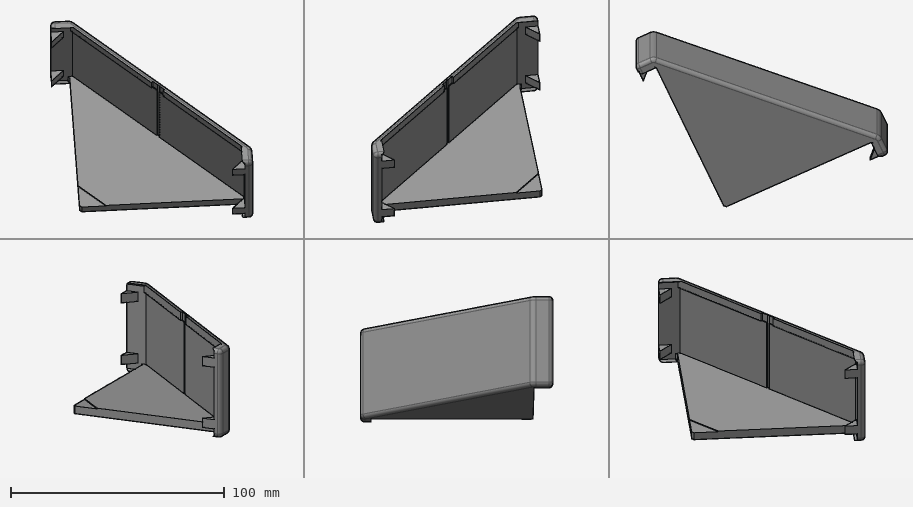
import cadquery as cq
import math

length = 124.9
depth = 57.0
height = 43.0
half_length = length / 2
root2 = math.sqrt(2)

lip_thickness = 3.0
wall_thickness = 2.4
wing_thickness = 5.0
bend_x = 56.5
bend_radius = 4.0
edge_radius = 2.0

lip_height = 4.0
lip_gap_width = 7.2
gap_wall_thickness = 2.0
recess_depth = 1.2
recess_margin = 1.0
groove_width = 1.4
groove_wall_thickness = 1.9

floor_thickness = 4.1
tip_width = groove_width
tip_step_y = -49.0
tip_step_drop = 0.4

hook_height = 4.5
hook_margin = 4.2
hook_inner_x = 56.5

end_corner_x = half_length + edge_radius * (root2 - 1)
end_corner_y = bend_x - end_corner_x
end_offset = end_corner_x - end_corner_y
rim_offset = bend_x - wing_thickness * root2
floor_of_recess_offset = rim_offset + recess_depth * root2
cut_over = 1.2


def mirrored(right_points):
    """Close a symmetric outline from its right half, listed from back to front."""
    return right_points + [(-x, y) for x, y in reversed(right_points)]


def prism(points, bottom, top):
    return cq.Workplane("XY").workplane(offset=bottom).polyline(points).close().extrude(top - bottom)


def both_sides(right_body):
    return right_body.union(right_body.mirror("YZ"))


def make_shell():
    rim_end = ((end_offset + rim_offset) / 2, (rim_offset - end_offset) / 2)
    outline = mirrored([
        (bend_x, 0),
        (end_corner_x, end_corner_y),
        rim_end,
        (rim_offset + lip_thickness, -lip_thickness),
    ])
    shell = prism(outline, 0, height)
    for side in (1, -1):
        bend = cq.selectors.NearestToPointSelector((side * bend_x, 0, height / 2))
        shell = shell.edges(bend).fillet(bend_radius)
    for side in (1, -1):
        end = cq.selectors.NearestToPointSelector((side * end_corner_x, end_corner_y, height / 2))
        shell = shell.edges(end).fillet(edge_radius)
    return shell


def round_rims(shell):
    """Round the top and bottom edges along the back, bends and wing ends."""
    rims = shell.faces("|Z").edges()
    outer_edges = []
    for edge in rims.vals():
        middle = edge.positionAt(0.5)
        on_back = middle.y > -edge_radius / 2
        on_wing = abs(middle.x) + middle.y > rim_offset + edge_radius
        if on_back or on_wing:
            outer_edges.append(edge)
    return shell.newObject(outer_edges).fillet(edge_radius)


def wall_pocket():
    wall_end_x = floor_of_recess_offset + wall_thickness
    front_y = -lip_thickness - cut_over
    outline = mirrored([
        (wall_end_x, -wall_thickness),
        (floor_of_recess_offset - front_y, front_y),
    ])
    return prism(outline, floor_thickness, height - lip_height)


def lip_gap():
    gap_depth = lip_thickness - gap_wall_thickness + cut_over
    gap = cq.Workplane("XY").box(lip_gap_width, gap_depth, lip_height + cut_over, centered=(True, False, False))
    return gap.translate((0, -gap_wall_thickness - gap_depth, height - lip_height))


def center_groove():
    groove_height = height - floor_thickness
    groove = cq.Workplane("XY").box(groove_width, lip_thickness, groove_height, centered=(True, False, False))
    return groove.translate((0, -groove_wall_thickness - lip_thickness, floor_thickness))


def slab_behind(thickness, bottom):
    slab = cq.Workplane("XY").box(half_length, thickness, height - bottom, centered=False)
    return slab.translate((0, -thickness, bottom))


def wing_recess():
    """Recess narrowing away from the top and bottom rims, open at the wing end."""
    section = cq.Plane(
        origin=(rim_offset, 0, 0),
        xDir=(1 / root2, 1 / root2, 0),
        normal=(1 / root2, -1 / root2, 0),
    )
    recess = (
        cq.Workplane(section)
        .polyline([
            (0, 0),
            (recess_depth, recess_margin),
            (recess_depth, height - recess_margin),
            (0, height),
        ])
        .close()
        .extrude(end_offset)
    )
    behind_wall = slab_behind(wall_thickness, 0)
    behind_lip = slab_behind(lip_thickness, height - lip_height)
    return both_sides(recess.cut(behind_wall).cut(behind_lip))


def make_floor():
    """Triangle with a blunt, slightly lowered tip and flared corners filling the recess ends."""
    edge_offset = depth + tip_width / 2
    corner_x = (edge_offset + rim_offset) / 2
    corner_y = corner_x - edge_offset
    flare_x = corner_x + recess_depth
    outline = mirrored([
        (floor_of_recess_offset + edge_radius, -edge_radius),
        (flare_x, corner_y),
        (corner_x, corner_y),
        (tip_width / 2, -depth),
    ])
    tip_cut_half_width = depth
    lowered_tip = prism(
        mirrored([(tip_cut_half_width, tip_step_y), (tip_cut_half_width, -depth)]),
        floor_thickness - tip_step_drop,
        floor_thickness,
    )
    return prism(outline, 0, floor_thickness).cut(lowered_tip)


def make_hooks():
    root_offset = floor_of_recess_offset + recess_depth
    end_root = ((end_offset + root_offset) / 2, (root_offset - end_offset) / 2)
    outline = [
        (hook_inner_x, hook_inner_x - end_offset),
        end_root,
        (hook_inner_x, root_offset - hook_inner_x),
    ]
    lower = prism(outline, hook_margin, hook_margin + hook_height)
    upper = lower.translate((0, 0, height - 2 * hook_margin - hook_height))
    return both_sides(lower.union(upper))


shell = round_rims(make_shell())
for pocket in (wall_pocket(), lip_gap(), center_groove(), wing_recess()):
    shell = shell.cut(pocket)
result = shell.union(make_floor()).union(make_hooks())